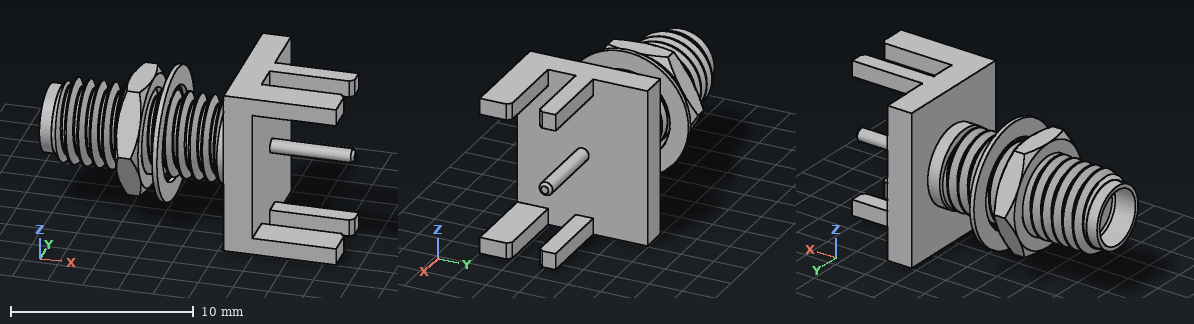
import cadquery as cq
import math


OVERALL_LENGTH = 17.45
PLATE_START = 11.05
PLATE_THICKNESS = 1.64
PLATE_WIDTH = 7.92
PLATE_HEIGHT = 9.53
LEG_HEIGHT = 1.0
LEG_CHAMFER = 0.25
WIDE_LEG_WIDTH = 1.88
NARROW_LEG_WIDTH = 1.06
NARROW_LEG_EDGE = -0.4

NOSE_RADIUS = 1.94
NOSE_LENGTH = 0.7
COLLAR_RADIUS = 2.45
COLLAR_LENGTH = 0.8
COLLAR_START = PLATE_START - COLLAR_LENGTH
THREAD_RADIUS = 2.4
TEN_TURN_LENGTH = 7.05
THREAD_PITCH = TEN_TURN_LENGTH / 10
THREAD_ANGLE = 60.0
LEAD_IN_RADIUS = 1.97
GROOVE_START = 0.038
GROOVE_TURNS = 15
GROOVE_RELIEF = 0.03

BORE_RADIUS = 1.68
BORE_DEPTH = 1.36
BORE_FLOOR_RADIUS = 1.57
BORE_TAPER_LENGTH = 0.14
BORE_FLOOR = BORE_DEPTH + BORE_TAPER_LENGTH

CONTACT_HEAD_RADIUS = 0.52
PIN_RADIUS = 0.4
PIN_CHAMFER = 0.17
SOCKET_RADIUS = PIN_RADIUS
SOCKET_DEPTH = 1.75

NUT_START = 4.68
NUT_WIDTH = 1.3
NUT_SIDES = 6
NUT_ACROSS_FLATS = 6.37
NUT_CHAMFER_ANGLE = 30.0

WASHER_START = 6.95
WASHER_THICKNESS = 0.28
WASHER_RADIUS = 3.82
WASHER_HOLE_RADIUS = 2.7


def cylinder_along_x(start, length, radius):
    return cq.Workplane("YZ", origin=(start, 0, 0)).circle(radius).extrude(length)


def revolve_about_x(points):
    """Solid of revolution from (x, radius) points."""
    return cq.Workplane("XY").polyline(points).close().revolve(360, (0, 0, 0), (1, 0, 0))


def make_groove_cutter():
    """Right-handed helical groove with a flat root, longer than the thread at both ends."""
    flank_slope = math.tan(math.radians(THREAD_ANGLE / 2))
    flat = THREAD_PITCH / 8
    depth = (THREAD_PITCH - 2 * flat) / (2 * flank_slope)
    root_radius = THREAD_RADIUS - depth
    outer_radius = THREAD_RADIUS + GROOVE_RELIEF
    root_half = flat / 2
    outer_half = root_half + (outer_radius - root_radius) * flank_slope
    path = cq.Wire.makeHelix(THREAD_PITCH, GROOVE_TURNS * THREAD_PITCH, root_radius)
    cutter = (
        cq.Workplane("XZ")
        .polyline([
            (root_radius, root_half),
            (outer_radius, outer_half),
            (outer_radius, -outer_half),
            (root_radius, -root_half),
        ])
        .close()
        .sweep(cq.Workplane(path), isFrenet=True)
    )
    return cutter.rotate((0, 0, 0), (0, 1, 0), 90).translate((GROOVE_START, 0, 0))


def make_thread():
    """Grooved rod trimmed to the thread length and to its conical lead-in."""
    rod_start = GROOVE_START - THREAD_PITCH
    rod_length = (GROOVE_TURNS + 2) * THREAD_PITCH
    rod = cylinder_along_x(rod_start, rod_length, THREAD_RADIUS)
    envelope = revolve_about_x([
        (NOSE_LENGTH, 0),
        (NOSE_LENGTH, LEAD_IN_RADIUS),
        (NOSE_LENGTH + THREAD_RADIUS - LEAD_IN_RADIUS, THREAD_RADIUS),
        (COLLAR_START, THREAD_RADIUS),
        (COLLAR_START, 0),
    ])
    return rod.cut(make_groove_cutter()).intersect(envelope)


def make_leg(y_min, y_max, z_min, chamfer_side):
    """Leg reaching back from the plate, its free end chamfered on one vertical edge."""
    leg_start = PLATE_START + PLATE_THICKNESS
    return (
        cq.Workplane("XY")
        .box(OVERALL_LENGTH - leg_start, y_max - y_min, LEG_HEIGHT, centered=False)
        .translate((leg_start, y_min, z_min))
        .edges("|Z").edges(">X").edges(chamfer_side)
        .chamfer(LEG_CHAMFER)
    )


def make_plate_with_legs():
    plate = (
        cq.Workplane("YZ", origin=(PLATE_START, 0, 0))
        .rect(PLATE_WIDTH, PLATE_HEIGHT)
        .extrude(PLATE_THICKNESS)
    )
    wide_edge = -PLATE_WIDTH / 2
    narrow_far_edge = NARROW_LEG_EDGE + NARROW_LEG_WIDTH
    for z_min in (-PLATE_HEIGHT / 2, PLATE_HEIGHT / 2 - LEG_HEIGHT):
        plate = plate.union(make_leg(wide_edge, wide_edge + WIDE_LEG_WIDTH, z_min, ">Y"))
        plate = plate.union(make_leg(NARROW_LEG_EDGE, narrow_far_edge, z_min, "<Y"))
    return plate


def make_bore():
    return revolve_about_x([
        (0, 0),
        (0, BORE_RADIUS),
        (BORE_DEPTH, BORE_RADIUS),
        (BORE_FLOOR, BORE_FLOOR_RADIUS),
        (BORE_FLOOR, 0),
    ])


def make_contact_envelope():
    """Contact without its socket: a thick head, then the thinner solder pin."""
    head = cylinder_along_x(BORE_FLOOR, PLATE_START - BORE_FLOOR, CONTACT_HEAD_RADIUS)
    pin = (
        cylinder_along_x(PLATE_START, OVERALL_LENGTH - PLATE_START, PIN_RADIUS)
        .faces(">X")
        .chamfer(PIN_CHAMFER)
    )
    return head.union(pin)


def make_housing():
    nose = cylinder_along_x(0, NOSE_LENGTH, NOSE_RADIUS)
    collar = cylinder_along_x(COLLAR_START, COLLAR_LENGTH, COLLAR_RADIUS)
    shell = make_thread().union(nose).union(collar).union(make_plate_with_legs())
    return shell.cut(make_bore()).cut(make_contact_envelope())


def make_contact():
    socket = cylinder_along_x(BORE_FLOOR, SOCKET_DEPTH, SOCKET_RADIUS)
    return make_contact_envelope().cut(socket)


def make_nut():
    flat_radius = NUT_ACROSS_FLATS / 2
    corner_radius = flat_radius / math.cos(math.pi / NUT_SIDES)
    chamfer_length = (corner_radius - flat_radius) * math.tan(math.radians(NUT_CHAMFER_ANGLE))
    nut_end = NUT_START + NUT_WIDTH
    hexagon = (
        cq.Workplane("YZ", origin=(NUT_START, 0, 0))
        .polygon(NUT_SIDES, 2 * corner_radius)
        .extrude(NUT_WIDTH)
    )
    turned = revolve_about_x([
        (NUT_START, 0),
        (NUT_START, flat_radius),
        (NUT_START + chamfer_length, corner_radius),
        (nut_end - chamfer_length, corner_radius),
        (nut_end, flat_radius),
        (nut_end, 0),
    ])
    return hexagon.intersect(turned).cut(cylinder_along_x(NUT_START, NUT_WIDTH, THREAD_RADIUS))


def make_washer():
    disc = cylinder_along_x(WASHER_START, WASHER_THICKNESS, WASHER_RADIUS)
    return disc.cut(cylinder_along_x(WASHER_START, WASHER_THICKNESS, WASHER_HOLE_RADIUS))


housing = make_housing()
contact = make_contact()
nut = make_nut()
washer = make_washer()

result = cq.Compound.makeCompound([housing.val(), contact.val(), nut.val(), washer.val()])